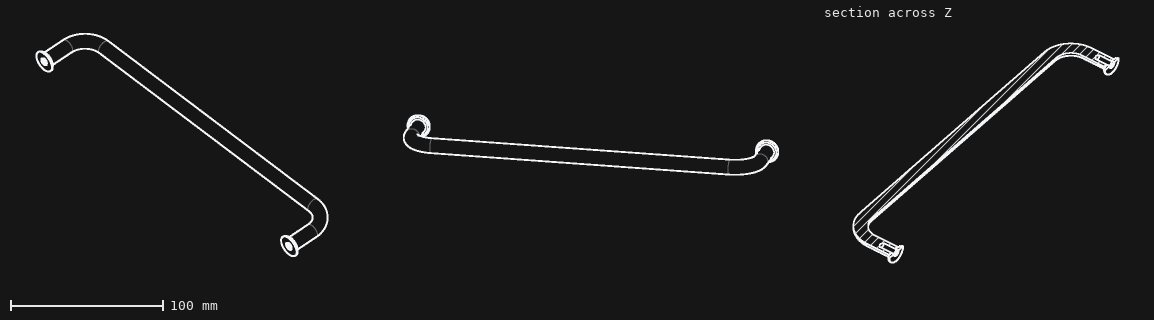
import cadquery as cq
import math

overall_length = 250.0
overall_depth = 43.0

rod_diameter = 10.0
bend_radius = 17.0

washer_diameter = 15.0
washer_top_diameter = 13.0
washer_thickness = 2.0
washer_rim_height = 1.0
countersink_diameter = 5.5

screw_hole_diameter = 4.2
screw_hole_depth = 10.0
drill_point_angle = 118.0

leg_x = (overall_length - washer_diameter) / 2
base_y = -overall_depth / 2
foot_y = base_y + washer_thickness
bar_y = overall_depth / 2 - rod_diameter / 2
leg_positions = (-leg_x, leg_x)


def make_screw_hole(x):
    """Cutter for a drilled hole with a conical bottom."""
    radius = screw_hole_diameter / 2
    point_depth = radius / math.tan(math.radians(drill_point_angle / 2))
    profile = (
        cq.Workplane("XY", origin=(x, foot_y, 0))
        .lineTo(radius, 0)
        .lineTo(radius, screw_hole_depth)
        .lineTo(0, screw_hole_depth + point_depth)
        .close()
    )
    return profile.revolve(360, (0, 0, 0), (0, 1, 0))


def make_handle():
    """Bent round rod with a blind screw hole in the end of each leg."""
    bend_y = bar_y - bend_radius
    bend_x = leg_x - bend_radius
    bend_mid_offset = bend_radius * 0.5 ** 0.5
    centreline = (
        cq.Workplane("XY")
        .moveTo(-leg_x, foot_y)
        .lineTo(-leg_x, bend_y)
        .threePointArc((-bend_x - bend_mid_offset, bend_y + bend_mid_offset), (-bend_x, bar_y))
        .lineTo(bend_x, bar_y)
        .threePointArc((bend_x + bend_mid_offset, bend_y + bend_mid_offset), (leg_x, bend_y))
        .lineTo(leg_x, foot_y)
    )
    foot_plane = cq.Plane(origin=(-leg_x, foot_y, 0), xDir=(1, 0, 0), normal=(0, 1, 0))
    rod = cq.Workplane(foot_plane).circle(rod_diameter / 2).sweep(centreline)
    for x in leg_positions:
        rod = rod.cut(make_screw_hole(x))
    return rod


def make_washer(x):
    """Washer with a straight rim that tapers in towards the rod and a countersunk hole."""
    hole_radius = screw_hole_diameter / 2
    countersink_radius = countersink_diameter / 2
    countersink_depth = countersink_radius - hole_radius
    profile = (
        cq.Workplane("XY", origin=(x, base_y, 0))
        .moveTo(countersink_radius, 0)
        .lineTo(washer_diameter / 2, 0)
        .lineTo(washer_diameter / 2, washer_rim_height)
        .lineTo(washer_top_diameter / 2, washer_thickness)
        .lineTo(hole_radius, washer_thickness)
        .lineTo(hole_radius, countersink_depth)
        .close()
    )
    return profile.revolve(360, (0, 0, 0), (0, 1, 0))


handle = make_handle()
washers = [make_washer(x) for x in leg_positions]

result = cq.Compound.makeCompound([handle.val(), *[washer.val() for washer in washers]])